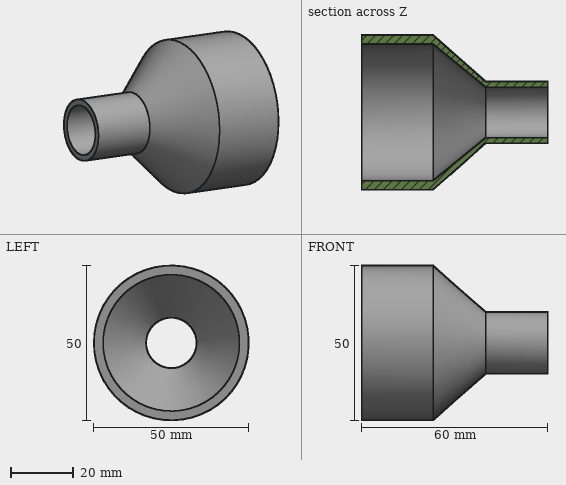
import cadquery as cq

total_length = 60.0
socket_length = 23.0
spigot_length = 20.0
socket_outer_diameter = 50.0
socket_bore_diameter = 44.0
spigot_outer_diameter = 20.0
spigot_bore_diameter = 16.2

cone_end = total_length - spigot_length


def stepped_cone(socket_diameter, spigot_diameter):
    """Solid of revolution about X: cylinder, cone, then smaller cylinder."""
    socket_radius = socket_diameter / 2
    spigot_radius = spigot_diameter / 2
    return (
        cq.Workplane("XY")
        .moveTo(0, 0)
        .lineTo(0, socket_radius)
        .lineTo(socket_length, socket_radius)
        .lineTo(cone_end, spigot_radius)
        .lineTo(total_length, spigot_radius)
        .lineTo(total_length, 0)
        .close()
        .revolve(360, (0, 0, 0), (1, 0, 0))
    )


body = stepped_cone(socket_outer_diameter, spigot_outer_diameter)
passage = stepped_cone(socket_bore_diameter, spigot_bore_diameter)

result = body.cut(passage)